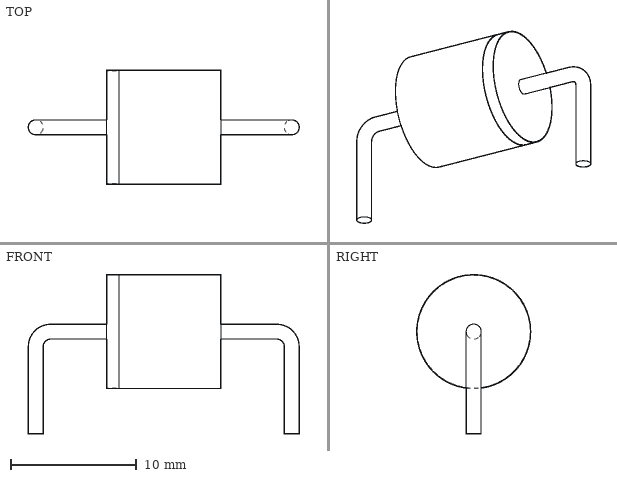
import cadquery as cq


body_diameter = 9.1
body_length = 9.1
band_width = 1.0
band_seat_diameter = 9.0
wire_diameter = 1.2
overall_span = 21.6
overall_height = 12.7

body_end_x = body_length / 2
band_start_x = -body_end_x
lead_x = (overall_span - wire_diameter) / 2
lead_bottom_z = body_diameter / 2 - overall_height
bend_radius = wire_diameter
bend_start_x = lead_x - bend_radius
bend_diagonal = bend_radius * 0.5 ** 0.5


def cylinder_along_x(diameter, start_x, length):
    """Solid cylinder on the X axis, growing toward +X from start_x."""
    return (
        cq.Workplane("YZ", origin=(start_x, 0, 0))
        .circle(diameter / 2)
        .extrude(length)
    )


def make_band():
    """Thin polarity ring, flush with the body's end and outer surface."""
    outside = cylinder_along_x(body_diameter, band_start_x, band_width)
    inside = cylinder_along_x(band_seat_diameter, band_start_x, band_width)
    return outside.cut(inside)


def make_body(band):
    """Cylindrical body with a shallow seat that the band fills."""
    return cylinder_along_x(body_diameter, -body_end_x, body_length).cut(band)


def make_lead(side):
    """Round wire from the body's end face, bent down; side is -1 or +1."""
    path = (
        cq.Workplane("XZ")
        .moveTo(side * body_end_x, 0)
        .lineTo(side * bend_start_x, 0)
        .threePointArc(
            (side * (bend_start_x + bend_diagonal), bend_diagonal - bend_radius),
            (side * lead_x, -bend_radius),
        )
        .lineTo(side * lead_x, lead_bottom_z)
    )
    return (
        cq.Workplane("YZ", origin=(side * body_end_x, 0, 0))
        .circle(wire_diameter / 2)
        .sweep(path)
    )


band = make_band()
body = make_body(band)
leads = [make_lead(side) for side in (-1, 1)]

result = cq.Compound.makeCompound(
    [body.val(), band.val(), *[lead.val() for lead in leads]]
)